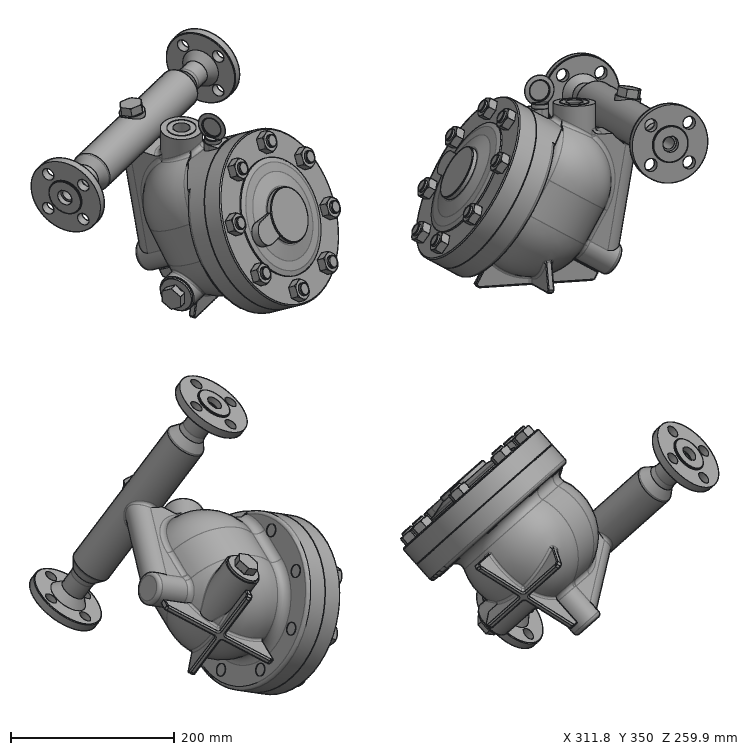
import cadquery as cq
import math


INLET_ROOT_ROUND = 5.0
WEB_ROUND = 7.0
FOOT_ROUND = 3.0
DRAIN_ROUND = 2.0
LEG_ROUND = 4.0
SEAM_TOLERANCE = 0.001

COVER_TILT = 30.0
JOINT_X = 181.0
JOINT_Z = -74.5

HEADER_HALF_LENGTH = 175.0
HEADER_RADIUS = 26.0
HEADER_BODY_END = 108.3
HEADER_EDGE_END = 110.2
HEADER_EDGE_RADIUS = 25.3
REDUCER_END = 122.0
REDUCER_RADIUS = 17.5
NECK_START = 129.0
NECK_RADIUS = 16.0
HUB_START = 150.2
HUB_RADIUS = 25.2
PIPE_FLANGE_BACK = 161.5
PIPE_FLANGE_FACE = 172.7
PIPE_FLANGE_RADIUS = 49.0
PIPE_FLANGE_CHAMFER = 1.0
RAISED_FACE_RADIUS = 23.0
RAISED_FACE_TOP_RADIUS = 22.0
RAISED_FACE_CHAMFER = 0.8
PIPE_BORE_DIAMETER = 15.0
PIPE_MOUTH_DIAMETER = 20.0
PIPE_MOUTH_DEPTH = 8.0
PIPE_BORE_DEPTH = 60.0
PIPE_BOLT_DIAMETER = 16.0
PIPE_BOLT_CIRCLE_DIAMETER = 70.0
PIPE_BOLT_COUNT = 4

LEG_TILT = 10.0
LEG_RADIUS = 19.3
LEG_END_ABOVE_ELBOW = 8.0
ELBOW_RADIUS = 20.6
ELBOW_BELOW_AXIS = 5.0
ELBOW_END_DEPTH = 195.8
ELBOW_END_ROUND = 5.0
WEB_TOP_Z = -14.0

DOME_RADIUS = 75.0
DOME_DEPTH = 71.5
UPPER_DOME_OFFSET = 45.0
LOWER_DOME_OFFSET = -4.5
THROAT_DEPTH = 43.0
FLARE_RADIUS = 77.5
RIM_PAD_FLOOR = 85.0
RIM_PAD_TIP_HALF_WIDTH = 24.0
RIM_PAD_ROOT_HALF_WIDTH = 68.0
FLANGE_RADIUS = 111.0
FLANGE_THICKNESS = 28.3
FLANGE_BACK_ROUND = 4.5
STUD_COUNT = 8
STUD_CIRCLE_RADIUS = 93.0
STUD_DIAMETER = 16.0
STUD_END_HEIGHT = 1.0

INLET_X = 65.0
INLET_TOP_Z = 24.0
INLET_ROOT_Z = -50.0
INLET_RADIUS = 26.0
INLET_SEAT_RADIUS = 18.0
INLET_SEAT_HEIGHT = 0.8
INLET_BORE_DIAMETER = 21.0
INLET_BORE_DEPTH = 50.0

HEX_FLATS = 26.0
PLUG_COLLAR_RADIUS = 16.0
PLUG_COLLAR_TOP = 27.0
PLUG_TOP = 38.0
PLUG_EDGE_CHAMFER = 1.0
DRAIN_X = 102.4
DRAIN_Z = -162.6
DRAIN_RADIUS = 24.0
DRAIN_END_Y = 76.5
DRAIN_LIP_RADIUS = 22.0
DRAIN_LIP_END_Y = 79.6
DRAIN_NECK_RADIUS = 11.0
DRAIN_NECK_LENGTH = 1.0
DRAIN_PLUG_END_Y = 91.0

EYE_X = 109.5
EYE_Y = -2.8
EYE_Z = 41.2
EYE_RADIUS = 19.0
EYE_DISH_RADIUS = 13.5
EYE_DISH_WALL = 1.0
EYE_RIM_THICKNESS = 3.0
EYE_EDGE_THICKNESS = 0.6
EYE_DISH_THICKNESS = 1.0
EYE_COLLAR_RADIUS = 10.5
EYE_COLLAR_TOP_Z = 26.4
EYE_COLLAR_CHAMFER = 1.0
EYE_PAD_RADIUS = 12.2
EYE_PAD_LEFT_X = 98.9
EYE_PAD_RIGHT_X = 124.3
EYE_PAD_TOP_Z = 20.2
EYE_PAD_BOTTOM_Z = -20.0

FOOT_BOTTOM_Z = -199.7
FOOT_EDGE_Z = -194.6
FOOT_LEFT_X = 34.8
FOOT_LEFT_EDGE_Z = -189.2
FOOT_LEFT_BEVEL = 5.8
FOOT_RIGHT_X = 193.8
FOOT_BEVEL = 3.2
FOOT_ROOT_Z = -120.0
FOOT_PLATE_THICKNESS = 8.0
FOOT_BOTTOM_CHAMFER = 2.0
FOOT_SIDE_CHAMFER = 1.2
CROSS_PLATE_X = 118.3
CROSS_PLATE_HALF_WIDTH = 68.5
CROSS_PLATE_SIDE_TILT = 15.0
FOOT_CORNER_ROUND = 3.0

COVER_THICKNESS = 26.2
COVER_EDGE_CHAMFER = 1.5
JOINT_FACE_RADIUS = 82.5
JOINT_GAP = 0.8
CROWN_STEP_RADIUS = 74.5
CROWN_STEP_HEIGHT = 2.0
CROWN_SHOULDER_RADIUS = 68.0
CROWN_SHOULDER_HEIGHT = 4.0
CROWN_CONE_RADIUS = 56.0
CROWN_CONE_HEIGHT = 5.0
CROWN_ROOT_RADIUS = 37.0
CROWN_ROOT_HEIGHT = 10.0
CENTRE_DISC_RADIUS = 35.0
CENTRE_DISC_HEIGHT = 16.4
CENTRE_DISC_CHAMFER = 1.0
ARM_RADIUS = 16.0
ARM_REACH = 52.0
ARM_RAISE = 3.0
ARM_HEIGHT = 14.8
NUT_FLATS = 24.0
NUT_HEIGHT = 11.0
NUT_CHAMFER = 1.5
NUT_TURN = 102.0
STUD_TIP_HEIGHT = 14.55
STUD_TIP_CHAMFER = 1.0

SQRT3 = math.sqrt(3)
TILT_COS = math.cos(math.radians(COVER_TILT))
TILT_SIN = math.sin(math.radians(COVER_TILT))


def tilted(depth, raise_up=0.0):
    """Workplane square to the cover axis: local x runs up the slope, local y along -Y."""
    x = JOINT_X + depth * TILT_COS - raise_up * TILT_SIN
    z = JOINT_Z + depth * TILT_SIN + raise_up * TILT_COS
    return cq.Workplane(cq.Plane((x, 0, z), (-TILT_SIN, 0, TILT_COS), (TILT_COS, 0, TILT_SIN)))


def along_leg(distance):
    """Workplane square to the leg at a distance down it; its normal points up the leg."""
    slope = math.radians(LEG_TILT)
    down = (math.sin(slope), 0, -math.cos(slope))
    origin = (distance * down[0], 0, distance * down[2])
    return cq.Workplane(cq.Plane(origin, (math.cos(slope), 0, math.sin(slope)), (-down[0], 0, -down[2])))


def hexagon(plane, flats, height, turn=0.0):
    """Hexagonal prism with a pair of corners on the local x axis, or turned from there."""
    return plane.transformed(rotate=(0, 0, turn)).polygon(6, flats * 2 / SQRT3).extrude(height)


def rounded_hexagon(plane, flats, height, chamfer, turn=0.0):
    """Hexagonal prism with its top corners cut back to a cone."""
    top = cq.selectors.DirectionMinMaxSelector(plane.plane.zDir, True)
    round_bar = plane.circle(flats / SQRT3).extrude(height).faces(top).edges().chamfer(chamfer)
    return hexagon(plane, flats, height, turn).intersect(round_bar)


def dome():
    """Spherical casing stretched up the slope, flaring into the flange and trimmed to its rim."""
    throat_rise = DOME_DEPTH - THROAT_DEPTH
    throat_radius = math.sqrt(DOME_RADIUS ** 2 - throat_rise ** 2)
    flare_rise = DOME_DEPTH - FLANGE_THICKNESS

    def section(offset):
        base = tilted(-DOME_DEPTH, offset).plane
        return cq.Workplane(cq.Plane(base.origin, (0, 1, 0), (TILT_SIN, 0, -TILT_COS)))

    def half_outline(offset):
        return (
            section(offset)
            .moveTo(0, -DOME_RADIUS)
            .threePointArc((DOME_RADIUS, 0), (throat_radius, throat_rise))
            .tangentArcPoint((FLARE_RADIUS, flare_rise), relative=False)
            .lineTo(0, flare_rise)
            .close()
        )

    upper = half_outline(UPPER_DOME_OFFSET).revolve(360, (0, 0, 0), (0, 1, 0))
    lower = half_outline(LOWER_DOME_OFFSET).revolve(360, (0, 0, 0), (0, 1, 0))
    half_middle = half_outline(UPPER_DOME_OFFSET).extrude(UPPER_DOME_OFFSET - LOWER_DOME_OFFSET)
    middle = half_middle.union(half_middle.mirror("XZ"))
    whole = upper.union(middle).union(lower)
    outside_rim = tilted(-THROAT_DEPTH).circle(2 * FLANGE_RADIUS).circle(FLANGE_RADIUS).extrude(THROAT_DEPTH)
    return whole.cut(outside_rim)


def rim_pad():
    """Wedge behind the top of the flange rim, filling the step up to the dome."""
    floor = tilted(0, RIM_PAD_FLOOR).plane
    root_depth = FLANGE_THICKNESS - FLANGE_BACK_ROUND
    wedge = (
        cq.Workplane(cq.Plane(floor.origin, (0, 1, 0), (-TILT_SIN, 0, TILT_COS)))
        .polyline([
            (-RIM_PAD_ROOT_HALF_WIDTH, root_depth),
            (RIM_PAD_ROOT_HALF_WIDTH, root_depth),
            (RIM_PAD_ROOT_HALF_WIDTH, FLANGE_THICKNESS),
            (RIM_PAD_TIP_HALF_WIDTH, THROAT_DEPTH),
            (-RIM_PAD_TIP_HALF_WIDTH, THROAT_DEPTH),
            (-RIM_PAD_ROOT_HALF_WIDTH, FLANGE_THICKNESS),
        ])
        .close()
        .extrude(FLANGE_RADIUS - RIM_PAD_FLOOR)
    )
    rim = tilted(-THROAT_DEPTH).circle(FLANGE_RADIUS).extrude(THROAT_DEPTH)
    return wedge.intersect(rim)


def casing_flange():
    disc = tilted(-FLANGE_THICKNESS).circle(FLANGE_RADIUS).extrude(FLANGE_THICKNESS)
    back = cq.selectors.DirectionMinMaxSelector(cq.Vector(TILT_COS, 0, TILT_SIN), False)
    return disc.faces(back).edges().fillet(FLANGE_BACK_ROUND)


def stud_ends():
    """Short round stud ends standing out of the back of the flange."""
    return (
        tilted(-FLANGE_THICKNESS)
        .polarArray(STUD_CIRCLE_RADIUS, 180 / STUD_COUNT, 360, STUD_COUNT)
        .circle(STUD_DIAMETER / 2)
        .extrude(-STUD_END_HEIGHT)
    )


def header():
    """Pipe, reducers, necks and end flanges turned about the Y axis."""
    half_profile = [
        (HEADER_RADIUS, HEADER_BODY_END),
        (HEADER_EDGE_RADIUS, HEADER_EDGE_END),
        (REDUCER_RADIUS, REDUCER_END),
        (NECK_RADIUS, NECK_START),
        (NECK_RADIUS, HUB_START),
        (HUB_RADIUS, PIPE_FLANGE_BACK),
        (PIPE_FLANGE_RADIUS - PIPE_FLANGE_CHAMFER, PIPE_FLANGE_BACK),
        (PIPE_FLANGE_RADIUS, PIPE_FLANGE_BACK + PIPE_FLANGE_CHAMFER),
        (PIPE_FLANGE_RADIUS, PIPE_FLANGE_FACE),
        (RAISED_FACE_RADIUS, PIPE_FLANGE_FACE),
        (RAISED_FACE_RADIUS, HEADER_HALF_LENGTH - RAISED_FACE_CHAMFER),
        (RAISED_FACE_TOP_RADIUS, HEADER_HALF_LENGTH),
        (0, HEADER_HALF_LENGTH),
    ]
    other_half = [(radius, -y) for radius, y in half_profile]
    outline = cq.Workplane("XY").polyline(half_profile[::-1] + other_half).close()
    return outline.revolve(360, (0, 0, 0), (0, 1, 0))


def header_holes():
    """Stepped bore and bolt holes of both end flanges."""
    face = cq.Workplane("XZ", origin=(0, -HEADER_HALF_LENGTH, 0))
    mouth = face.circle(PIPE_MOUTH_DIAMETER / 2).extrude(-PIPE_MOUTH_DEPTH)
    bore = face.circle(PIPE_BORE_DIAMETER / 2).extrude(-PIPE_BORE_DEPTH)
    bolts = (
        face.polarArray(PIPE_BOLT_CIRCLE_DIAMETER / 2, 180 / PIPE_BOLT_COUNT, 360, PIPE_BOLT_COUNT)
        .circle(PIPE_BOLT_DIAMETER / 2)
        .extrude(PIPE_FLANGE_BACK - HEADER_HALF_LENGTH)
    )
    near_end = mouth.union(bore).union(bolts)
    return near_end.union(near_end.mirror("XZ"))


def leg_end_distance():
    """Distance down the leg to the elbow axis."""
    elbow_height = JOINT_Z * TILT_COS - JOINT_X * TILT_SIN - ELBOW_BELOW_AXIS
    return -elbow_height / math.cos(math.radians(COVER_TILT - LEG_TILT))


def leg():
    leg_length = leg_end_distance() - LEG_END_ABOVE_ELBOW
    return along_leg(leg_length).circle(LEG_RADIUS).extrude(leg_length)


def elbow():
    """Closed cylinder from the foot of the leg into the dome."""
    elbow_length = ELBOW_END_DEPTH - DOME_DEPTH
    bar = tilted(-ELBOW_END_DEPTH, -ELBOW_BELOW_AXIS).circle(ELBOW_RADIUS).extrude(elbow_length)
    closed_end = cq.selectors.DirectionMinMaxSelector(cq.Vector(TILT_COS, 0, TILT_SIN), False)
    return bar.faces(closed_end).edges().fillet(ELBOW_END_ROUND)


def web():
    """Filling between the leg, the elbow and the dome, as wide as the leg."""
    leg_bottom = along_leg(leg_end_distance()).plane.origin
    leg_top = along_leg(-WEB_TOP_Z / math.cos(math.radians(LEG_TILT))).plane.origin
    elbow_root = tilted(-DOME_DEPTH, -ELBOW_BELOW_AXIS).plane.origin
    return (
        cq.Workplane("XZ")
        .polyline([
            (leg_top.x, leg_top.z),
            (leg_bottom.x, leg_bottom.z),
            (elbow_root.x, elbow_root.z),
            (INLET_X, WEB_TOP_Z),
        ])
        .close()
        .extrude(LEG_RADIUS, both=True)
    )


def inlet_boss():
    """Upright boss with a slightly raised seat around its bore."""
    root = cq.Workplane("XY", origin=(INLET_X, 0, INLET_ROOT_Z))
    boss_height = INLET_TOP_Z - INLET_ROOT_Z
    boss = root.circle(INLET_RADIUS).extrude(boss_height)
    return boss.union(root.circle(INLET_SEAT_RADIUS).extrude(boss_height + INLET_SEAT_HEIGHT))


def inlet_bore():
    top = cq.Workplane("XY", origin=(INLET_X, 0, INLET_TOP_Z + INLET_SEAT_HEIGHT))
    return top.circle(INLET_BORE_DIAMETER / 2).extrude(-INLET_BORE_DEPTH)


def header_plug():
    """Round collar and hexagonal head on the header, in line with the leg."""
    collar = along_leg(0).circle(PLUG_COLLAR_RADIUS).extrude(PLUG_COLLAR_TOP)
    head_height = PLUG_TOP - PLUG_COLLAR_TOP
    head = rounded_hexagon(along_leg(-PLUG_COLLAR_TOP), HEX_FLATS, head_height, PLUG_EDGE_CHAMFER)
    return collar.union(head)


def drain():
    """Drain boss, its lip and the hexagonal plug, pointing to -Y."""
    axis = cq.Workplane("XZ", origin=(DRAIN_X, 0, DRAIN_Z))
    boss = axis.circle(DRAIN_RADIUS).extrude(DRAIN_END_Y)
    lip = axis.circle(DRAIN_LIP_RADIUS).extrude(DRAIN_LIP_END_Y)
    neck_end_y = DRAIN_LIP_END_Y + DRAIN_NECK_LENGTH
    neck = axis.circle(DRAIN_NECK_RADIUS).extrude(neck_end_y)
    head_base = cq.Workplane("XZ", origin=(DRAIN_X, -neck_end_y, DRAIN_Z))
    head = hexagon(head_base, HEX_FLATS, DRAIN_PLUG_END_Y - neck_end_y, turn=90)
    return boss.union(lip).union(neck).union(head)


def lifting_eye():
    """Dished eye on a round collar, standing on a pad that runs into the flange rim."""
    dish_floor_radius = EYE_DISH_RADIUS - EYE_DISH_WALL
    disc = (
        cq.Workplane("XY", origin=(EYE_X, EYE_Y, EYE_Z))
        .polyline([
            (0, -EYE_DISH_THICKNESS / 2),
            (dish_floor_radius, -EYE_DISH_THICKNESS / 2),
            (EYE_DISH_RADIUS, -EYE_RIM_THICKNESS / 2),
            (EYE_RADIUS, -EYE_EDGE_THICKNESS / 2),
            (EYE_RADIUS, EYE_EDGE_THICKNESS / 2),
            (EYE_DISH_RADIUS, EYE_RIM_THICKNESS / 2),
            (dish_floor_radius, EYE_DISH_THICKNESS / 2),
            (0, EYE_DISH_THICKNESS / 2),
        ])
        .close()
        .revolve(360, (0, 0, 0), (0, 1, 0))
    )
    collar = (
        cq.Workplane("XY", origin=(EYE_X, 0, EYE_PAD_BOTTOM_Z))
        .circle(EYE_COLLAR_RADIUS)
        .extrude(EYE_COLLAR_TOP_Z - EYE_PAD_BOTTOM_Z)
        .faces(">Z")
        .chamfer(EYE_COLLAR_CHAMFER)
    )
    round_centre_x = EYE_PAD_LEFT_X + EYE_PAD_RADIUS
    pad = (
        cq.Workplane("XY", origin=(0, 0, EYE_PAD_BOTTOM_Z))
        .moveTo(EYE_PAD_RIGHT_X, EYE_PAD_RADIUS)
        .lineTo(round_centre_x, EYE_PAD_RADIUS)
        .threePointArc((EYE_PAD_LEFT_X, 0), (round_centre_x, -EYE_PAD_RADIUS))
        .lineTo(EYE_PAD_RIGHT_X, -EYE_PAD_RADIUS)
        .close()
        .extrude(EYE_PAD_TOP_Z - EYE_PAD_BOTTOM_Z)
    )
    return disc.union(collar).union(pad)


def foot():
    """Two crossed plates under the dome with bevelled lower corners."""
    rise = FOOT_ROOT_Z - FOOT_EDGE_Z
    slope = math.tan(math.radians(COVER_TILT))
    left_rise = (CROSS_PLATE_X - FOOT_LEFT_X) * slope
    long_plate = (
        cq.Workplane("XZ")
        .polyline([
            (FOOT_LEFT_X + FOOT_LEFT_BEVEL, FOOT_BOTTOM_Z),
            (FOOT_RIGHT_X - FOOT_BEVEL, FOOT_BOTTOM_Z),
            (FOOT_RIGHT_X, FOOT_EDGE_Z),
            (FOOT_RIGHT_X - rise * slope, FOOT_ROOT_Z),
            (CROSS_PLATE_X, FOOT_LEFT_EDGE_Z + left_rise),
            (FOOT_LEFT_X, FOOT_LEFT_EDGE_Z),
        ])
        .close()
        .extrude(FOOT_PLATE_THICKNESS / 2, both=True)
    )
    narrowing = rise * math.tan(math.radians(CROSS_PLATE_SIDE_TILT))
    cross_plate = (
        cq.Workplane("YZ", origin=(CROSS_PLATE_X, 0, 0))
        .polyline([
            (CROSS_PLATE_HALF_WIDTH - FOOT_BEVEL, FOOT_BOTTOM_Z),
            (CROSS_PLATE_HALF_WIDTH, FOOT_EDGE_Z),
            (CROSS_PLATE_HALF_WIDTH - narrowing, FOOT_ROOT_Z),
            (narrowing - CROSS_PLATE_HALF_WIDTH, FOOT_ROOT_Z),
            (-CROSS_PLATE_HALF_WIDTH, FOOT_EDGE_Z),
            (FOOT_BEVEL - CROSS_PLATE_HALF_WIDTH, FOOT_BOTTOM_Z),
        ])
        .close()
        .extrude(FOOT_PLATE_THICKNESS / 2, both=True)
    )
    long_plate = long_plate.edges("not (|X or |Y)").chamfer(FOOT_SIDE_CHAMFER)
    cross_plate = cross_plate.edges("not (|X or |Y)").chamfer(FOOT_SIDE_CHAMFER)
    plates = long_plate.union(cross_plate).edges("|Z").fillet(FOOT_CORNER_ROUND)
    return plates.faces("<Z").chamfer(FOOT_BOTTOM_CHAMFER)


def blended(body, addition, radius, skipped_y=None):
    """Join two shapes and round the edges where their surfaces meet, except edges lying at skipped_y."""
    joined = body.union(addition)
    seam = []
    for edge in joined.edges().vals():
        middle = edge.positionAt(0.5)
        corner = cq.Vertex.makeVertex(*middle.toTuple())
        on_both = all(corner.distance(shape.val().Shells()[0]) < SEAM_TOLERANCE for shape in (body, addition))
        skipped = skipped_y is not None and abs(middle.y - skipped_y) < SEAM_TOLERANCE
        if on_both and not skipped:
            seam.append(edge)
    return joined.newObject(seam).fillet(radius)


plain_dome = dome()
bossed_dome = blended(plain_dome, inlet_boss(), INLET_ROOT_ROUND)
webbed_dome = blended(bossed_dome, web().union(elbow()), WEB_ROUND)
footed_dome = blended(plain_dome, foot(), FOOT_ROUND)
drained_dome = blended(plain_dome, drain(), DRAIN_ROUND, skipped_y=0)
header_with_leg = blended(header(), leg(), LEG_ROUND)
casing = (
    webbed_dome
    .union(footed_dome)
    .union(drained_dome)
    .union(rim_pad())
    .union(header_with_leg)
    .union(casing_flange().union(stud_ends()))
    .union(lifting_eye())
    .union(header_plug())
    .cut(inlet_bore())
    .cut(header_holes())
)


def cover_disc():
    """Cover rim with a raised joint face that rests on the casing flange."""
    joint_face = tilted(0).circle(JOINT_FACE_RADIUS).extrude(COVER_THICKNESS)
    disc = tilted(JOINT_GAP).circle(FLANGE_RADIUS).extrude(COVER_THICKNESS - JOINT_GAP)
    front = cq.selectors.DirectionMinMaxSelector(cq.Vector(TILT_COS, 0, TILT_SIN), True)
    return disc.faces(front).edges().chamfer(COVER_EDGE_CHAMFER).union(joint_face)


def crown():
    """Turned rise in the middle of the cover, ending in a flat centre disc."""
    base = tilted(COVER_THICKNESS).plane
    turning_plane = cq.Workplane(cq.Plane(base.origin, (0, -1, 0), (-TILT_SIN, 0, TILT_COS)))
    return (
        turning_plane
        .polyline([
            (0, 0),
            (CROWN_STEP_RADIUS, 0),
            (CROWN_STEP_RADIUS, CROWN_STEP_HEIGHT),
            (CROWN_SHOULDER_RADIUS, CROWN_SHOULDER_HEIGHT),
            (CROWN_CONE_RADIUS, CROWN_CONE_HEIGHT),
            (CROWN_ROOT_RADIUS, CROWN_ROOT_HEIGHT),
            (CENTRE_DISC_RADIUS, CROWN_ROOT_HEIGHT),
            (CENTRE_DISC_RADIUS, CENTRE_DISC_HEIGHT - CENTRE_DISC_CHAMFER),
            (CENTRE_DISC_RADIUS - CENTRE_DISC_CHAMFER, CENTRE_DISC_HEIGHT),
            (0, CENTRE_DISC_HEIGHT),
        ])
        .close()
        .revolve(360, (0, 0, 0), (0, 1, 0))
    )


def arm():
    """Round-ended arm from the centre disc towards -Y."""
    base = tilted(COVER_THICKNESS, ARM_RAISE)
    bar = base.center(0, ARM_REACH / 2).rect(2 * ARM_RADIUS, ARM_REACH).extrude(ARM_HEIGHT)
    end = tilted(COVER_THICKNESS, ARM_RAISE).center(0, ARM_REACH).circle(ARM_RADIUS).extrude(ARM_HEIGHT)
    return bar.union(end)


def nut_with_stud():
    """One nut and stud tip at the middle of the cover face."""
    face = tilted(COVER_THICKNESS)
    nut = rounded_hexagon(face, NUT_FLATS, NUT_HEIGHT, NUT_CHAMFER, NUT_TURN)
    tip = face.circle(STUD_DIAMETER / 2).extrude(STUD_TIP_HEIGHT)
    front = cq.selectors.DirectionMinMaxSelector(cq.Vector(TILT_COS, 0, TILT_SIN), True)
    return nut.union(tip.faces(front).edges().chamfer(STUD_TIP_CHAMFER))


cover = cover_disc().union(crown()).union(arm())
centred_nut = nut_with_stud()
for index in range(STUD_COUNT):
    angle = math.radians((index + 0.5) * 360 / STUD_COUNT)
    up_slope = STUD_CIRCLE_RADIUS * math.cos(angle)
    across = STUD_CIRCLE_RADIUS * math.sin(angle)
    cover = cover.union(centred_nut.translate((-up_slope * TILT_SIN, across, up_slope * TILT_COS)))

result = cq.Compound.makeCompound([casing.val(), cover.val()])